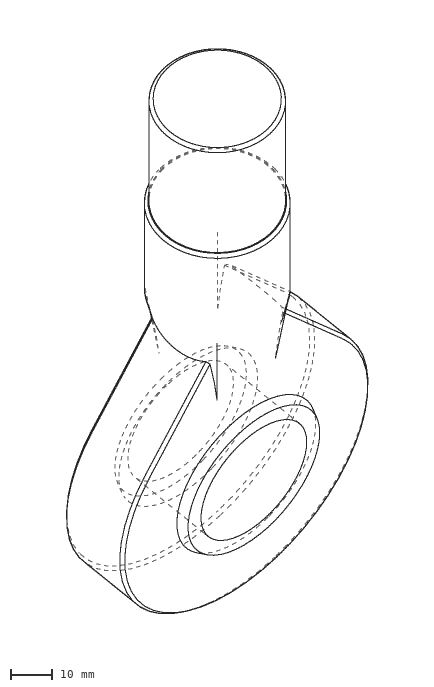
import cadquery as cq
import math

total_height = 171.0

eye_diameter = 81.9
plate_thickness = 20.3
plate_chamfer = 0.9
flank_tangent_rise = 25.0

ring_width = 25.6
ring_root_radius = 22.9
ring_face_radius = 21.7
bore_radius = 17.5

collar_diameter = 35.0
collar_bottom = 101.0
collar_top = 133.4
collar_chamfer = 0.9
shank_radius = 16.5
shank_chamfer_width = 1.0
shank_chamfer_height = 0.7

neck_bottom = 76.1
neck_foot_width = 19.3

eye_radius = eye_diameter / 2
eye_centre_z = eye_radius
collar_radius = collar_diameter / 2


def make_plate():
    """Teardrop: a circle with two tangent flanks that meet inside the collar."""
    tangent_y = math.sqrt(eye_radius**2 - flank_tangent_rise**2)
    tangent_z = eye_centre_z + flank_tangent_rise
    apex_z = eye_centre_z + eye_radius**2 / flank_tangent_rise
    return (
        cq.Workplane("YZ", origin=(-plate_thickness / 2, 0, 0))
        .moveTo(tangent_y, tangent_z)
        .lineTo(0, apex_z)
        .lineTo(-tangent_y, tangent_z)
        .threePointArc((0, 0), (tangent_y, tangent_z))
        .close()
        .extrude(plate_thickness)
        .faces("<X or >X")
        .chamfer(plate_chamfer)
    )


def make_ring():
    """Ring tapering from the plate faces to its own end faces."""
    half_plate = plate_thickness / 2
    half_ring = ring_width / 2
    return (
        cq.Workplane("XY")
        .polyline([
            (-half_ring, 0),
            (-half_ring, ring_face_radius),
            (-half_plate, ring_root_radius),
            (half_plate, ring_root_radius),
            (half_ring, ring_face_radius),
            (half_ring, 0),
        ])
        .close()
        .revolve(360, (0, 0, 0), (1, 0, 0))
        .translate((0, 0, eye_centre_z))
    )


def make_bore():
    return (
        cq.Workplane("YZ", origin=(-ring_width / 2, 0, eye_centre_z))
        .circle(bore_radius)
        .extrude(ring_width)
    )


def make_stem():
    """Collar and shank turned as one profile of radius against height."""
    return (
        cq.Workplane("XZ")
        .polyline([
            (0, collar_bottom),
            (collar_radius, collar_bottom),
            (collar_radius, collar_top - collar_chamfer),
            (collar_radius - collar_chamfer, collar_top),
            (shank_radius, collar_top),
            (shank_radius, total_height - shank_chamfer_height),
            (shank_radius - shank_chamfer_width, total_height),
            (0, total_height),
        ])
        .close()
        .revolve(360, (0, 0, 0), (0, 1, 0))
    )


def make_neck():
    """Ruled transition from the plate-wide rectangle up to the collar circle."""
    return (
        cq.Workplane("XY", origin=(0, 0, neck_bottom))
        .rect(plate_thickness, neck_foot_width)
        .workplane(offset=collar_bottom - neck_bottom)
        .circle(collar_radius)
        .loft(ruled=True)
    )


result = (
    make_plate()
    .union(make_neck())
    .union(make_stem())
    .union(make_ring())
    .cut(make_bore())
)